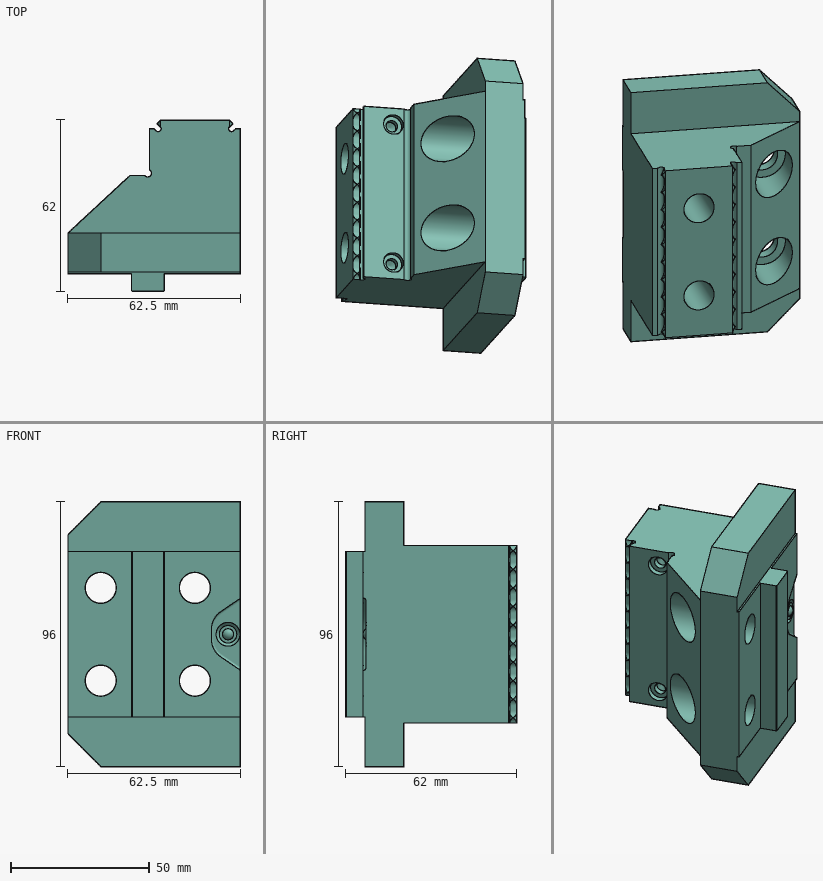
import cadquery as cq
import math


plate_width = 62.5
plate_height = 96.0
plate_front_y = 0.7
plate_back_y = 14.8
plate_corner_cut = 12.0

pad_height = 60.0
key_left_x = 23.0
key_width = 11.9
key_projection = 6.3
key_edge_chamfer = 0.3

overall_depth = 62.0
block_height = 64.3
block_width = 33.0
block_left_x = plate_width - block_width
rail_width = 24.9
rail_depth = 3.1
rail_back_y = overall_depth - key_projection
rail_foot_y = rail_back_y - rail_depth
rail_left_x = block_left_x + (block_width - rail_width) / 2
rail_right_x = rail_left_x + rail_width
ledge_y = rail_back_y - 20.0
slope_end_x = 22.6

rail_relief_radius = 1.1
rail_relief_offset = 0.9
ledge_relief_radius = 1.3
ledge_relief_offset_x = 0.6
ledge_relief_offset_y = 0.8

tooth_count = 10
tooth_projection = 1.3
tooth_half_length = 2.4
tooth_end_distance = 1.9
tooth_pitch = (block_height - 2 * tooth_end_distance) / (tooth_count - 1)
tooth_center_y = rail_back_y - tooth_projection

ledge_screw_x = 11.9
rail_screw_x = 46.0
screw_z = 16.8
screw_hole_diameter = 11.1
screw_head_diameter = 16.9
screw_head_seat_y = 5.8

side_hole_y = rail_back_y - 14.0
side_hole_z = 26.0
side_hole_diameter = 4.2
side_hole_depth = 4.8
side_counterbore_diameter = 7.3
side_counterbore_depth = 2.3
drill_half_angle = 59.0

pocket_depth = 1.2
pocket_left_x = 51.9
pocket_left_half_height = 5.9
pocket_side_half_height = 13.1
pocket_corner_radius = 7.9
pocket_floor_fillet = 1.0

port_x = 58.0
port_diameter = 6.3
countersink_diameter = 8.6
insert_length = 5.8
ball_rim_radius = 2.0
ball_projection = 1.2


def cylinder_y(x, z, radius, start_y, end_y):
    """Solid cylinder along Y."""
    start = cq.Vector(x, start_y, z)
    return cq.Workplane(cq.Solid.makeCylinder(radius, end_y - start_y, start, cq.Vector(0, 1, 0)))


def make_plate():
    plate = (
        cq.Workplane("XY")
        .box(plate_width, plate_back_y - plate_front_y, plate_height, centered=(False, False, True))
        .translate((0, plate_front_y, 0))
    )
    plate = plate.edges("|Y and <X").chamfer(plate_corner_cut)
    pad = cq.Workplane("XY").box(plate_width, plate_front_y, pad_height, centered=(False, False, True))
    return plate.union(pad)


def make_key():
    key = (
        cq.Workplane("XY")
        .box(key_width, key_projection, pad_height, centered=(False, False, True))
        .translate((key_left_x, -key_projection, 0))
    )
    return key.edges("|Z and <Y").chamfer(key_edge_chamfer)


def make_block():
    outline = [
        (0, plate_back_y),
        (plate_width, plate_back_y),
        (plate_width, rail_foot_y),
        (rail_right_x, rail_foot_y),
        (rail_right_x, rail_back_y),
        (rail_left_x, rail_back_y),
        (rail_left_x, rail_foot_y),
        (block_left_x, rail_foot_y),
        (block_left_x, ledge_y),
        (slope_end_x, ledge_y),
    ]
    return cq.Workplane("XY").polyline(outline).close().extrude(block_height / 2, both=True)


def make_rail_relief(wall_x, outward):
    """Round groove at the foot of a rail wall, running out to the shelf at 45 degrees."""
    center_x = wall_x + outward * rail_relief_offset
    diagonal = rail_relief_radius / math.sqrt(2)
    runout = rail_relief_radius * math.sqrt(2)
    return (
        cq.Workplane("XY")
        .moveTo(center_x + outward * runout, rail_foot_y)
        .lineTo(center_x + outward * diagonal, rail_foot_y - diagonal)
        .threePointArc(
            (center_x - outward * diagonal, rail_foot_y - diagonal),
            (center_x - outward * diagonal, rail_foot_y + diagonal),
        )
        .close()
        .extrude(block_height / 2, both=True)
    )


def make_ledge_relief():
    return (
        cq.Workplane("XY")
        .center(block_left_x - ledge_relief_offset_x, ledge_y + ledge_relief_offset_y)
        .circle(ledge_relief_radius)
        .extrude(block_height / 2, both=True)
    )


def make_tooth(wall_x, outward, z):
    """Pointed tooth: a 45 degree ridge along Z trimmed by two hollow flanks."""
    ridge = (
        cq.Workplane("XY", origin=(0, 0, z))
        .moveTo(wall_x, tooth_center_y - tooth_projection)
        .lineTo(wall_x + outward * tooth_projection, tooth_center_y)
        .lineTo(wall_x, tooth_center_y + tooth_projection)
        .close()
        .extrude(tooth_half_length, both=True)
    )
    flank_radius = (tooth_half_length**2 + tooth_projection**2) / (2 * tooth_projection)
    for side in (-1, 1):
        hollow = cylinder_y(
            wall_x + outward * flank_radius,
            z + side * tooth_half_length,
            flank_radius,
            tooth_center_y - 2 * tooth_projection,
            tooth_center_y + 2 * tooth_projection,
        )
        ridge = ridge.cut(hollow)
    return ridge


def make_teeth():
    teeth = []
    first_z = -(tooth_count - 1) * tooth_pitch / 2
    for wall_x, outward in ((rail_left_x, -1), (rail_right_x, 1)):
        for index in range(tooth_count):
            teeth.append(make_tooth(wall_x, outward, first_z + index * tooth_pitch))
    block_zone = (
        cq.Workplane("XY")
        .box(plate_width, rail_depth, block_height, centered=(False, False, True))
        .translate((0, rail_foot_y, 0))
    )
    return [tooth.intersect(block_zone) for tooth in teeth]


def make_ledge_screw_hole(z):
    """Screw hole with a deep counterbore that opens on the sloping face."""
    hole = cylinder_y(ledge_screw_x, z, screw_hole_diameter / 2, 0, screw_head_seat_y)
    counterbore = cylinder_y(ledge_screw_x, z, screw_head_diameter / 2, screw_head_seat_y, rail_back_y)
    return hole.union(counterbore)


def make_rail_screw_hole(z):
    return cylinder_y(rail_screw_x, z, screw_hole_diameter / 2, 0, rail_back_y)


def make_side_hole(z):
    """Counterbored blind hole with a drill point, entering along +X."""
    hole_radius = side_hole_diameter / 2
    counterbore_radius = side_counterbore_diameter / 2
    point_depth = hole_radius / math.tan(math.radians(drill_half_angle))
    profile = [
        (0, 0),
        (0, counterbore_radius),
        (side_counterbore_depth, counterbore_radius),
        (side_counterbore_depth, hole_radius),
        (side_hole_depth, hole_radius),
        (side_hole_depth + point_depth, 0),
    ]
    hole = cq.Workplane("XY").polyline(profile).close().revolve(360, (0, 0, 0), (1, 0, 0))
    return hole.translate((block_left_x, side_hole_y, z))


def make_port_pocket():
    """Shallow pocket with a rounded floor edge, open at the side of the plate."""
    wall_slope = (pocket_side_half_height - pocket_left_half_height) / (plate_width - pocket_left_x)
    outer_x = plate_width + 2 * pocket_floor_fillet
    outer_half_height = pocket_side_half_height + wall_slope * (outer_x - plate_width)
    outline = (
        cq.Sketch()
        .polygon(
            [
                (pocket_left_x, -pocket_left_half_height),
                (outer_x, -outer_half_height),
                (outer_x, outer_half_height),
                (pocket_left_x, pocket_left_half_height),
                (pocket_left_x, -pocket_left_half_height),
            ]
        )
        .vertices("<X")
        .fillet(pocket_corner_radius)
    )
    pocket = cq.Workplane("XZ").placeSketch(outline).extrude(-pocket_depth)
    return pocket.faces(">Y").edges().fillet(pocket_floor_fillet)


def make_port():
    """Bore for the valve insert with a 45 degree countersink at the pocket floor."""
    bore = cylinder_y(port_x, 0, port_diameter / 2, pocket_depth, pocket_depth + insert_length)
    countersink = cq.Solid.makeCone(
        countersink_diameter / 2,
        port_diameter / 2,
        (countersink_diameter - port_diameter) / 2,
        cq.Vector(port_x, pocket_depth, 0),
        cq.Vector(0, 1, 0),
    )
    return bore.union(cq.Workplane(countersink))


def make_housing():
    body = make_plate().union(make_key()).union(make_block())
    body = body.cut(make_rail_relief(rail_left_x, -1)).cut(make_rail_relief(rail_right_x, 1))
    body = body.cut(make_ledge_relief())
    for tooth in make_teeth():
        body = body.union(tooth)
    for z in (-screw_z, screw_z):
        body = body.cut(make_ledge_screw_hole(z)).cut(make_rail_screw_hole(z))
    for z in (-side_hole_z, side_hole_z):
        body = body.cut(make_side_hole(z))
    return body.cut(make_port_pocket()).cut(make_port())


def make_valve_insert():
    """Round insert with the ball showing as a dome on its front face."""
    insert = cylinder_y(port_x, 0, port_diameter / 2, pocket_depth, pocket_depth + insert_length)
    ball_radius = (ball_rim_radius**2 + ball_projection**2) / (2 * ball_projection)
    ball_front_y = pocket_depth - ball_projection
    ball_center_y = ball_front_y + ball_radius
    dome = cylinder_y(port_x, 0, ball_rim_radius, ball_front_y, pocket_depth + insert_length)
    ball = cq.Workplane("XY").sphere(ball_radius).translate((port_x, ball_center_y, 0))
    return insert.union(dome.intersect(ball))


housing = make_housing()
valve_insert = make_valve_insert()
result = cq.Compound.makeCompound([housing.val(), valve_insert.val()])